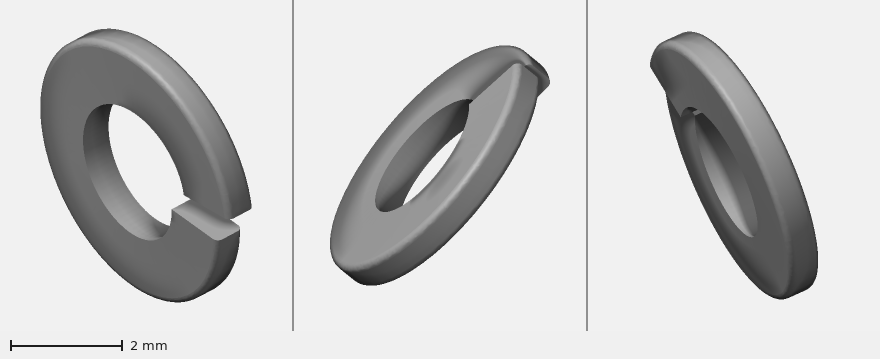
import cadquery as cq

outer_radius = 2.55
inner_radius = 1.3
thickness = 0.6
total_height = 0.9
edge_radius = 0.12
gap_angle = 7.2

sweep_angle = 360 - gap_angle
rise = total_height - thickness
pitch = rise * 360 / sweep_angle
bottom = -total_height / 2


def ring_section():
    """Radial section at the low end, with its two outer corners rounded."""
    top = bottom + thickness
    corner_start = outer_radius - edge_radius
    return (
        cq.Workplane("XZ")
        .moveTo(inner_radius, bottom)
        .lineTo(corner_start, bottom)
        .radiusArc((outer_radius, bottom + edge_radius), -edge_radius)
        .lineTo(outer_radius, top - edge_radius)
        .radiusArc((corner_start, top), -edge_radius)
        .lineTo(inner_radius, top)
        .close()
    )


def coil_path():
    """Right-handed helix that leaves the split as a gap between its ends."""
    return cq.Wire.makeHelix(pitch, rise, inner_radius, cq.Vector(0, 0, bottom))


coil = ring_section().sweep(cq.Workplane(obj=coil_path()), isFrenet=True)
result = coil.rotate((0, 0, 0), (1, 0, 0), -90)